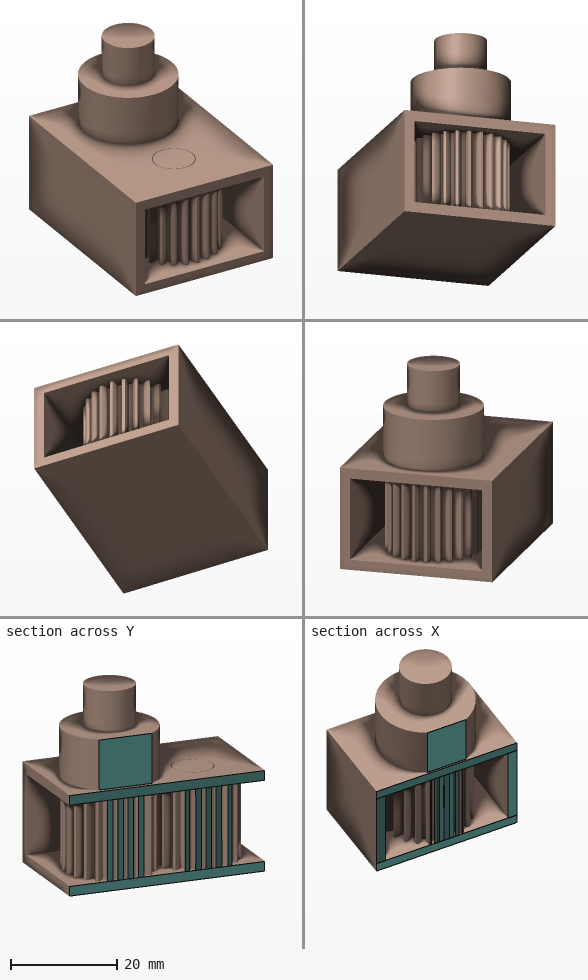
import cadquery as cq
import math

case_length = 40.0
case_width = 30.0
case_height = 20.0
plate_thickness = 2.0
wall_thickness = 2.0
tab_length = 6.0
tab_thickness = 1.0
tab_end_margin = 2.0
inside_height = case_height - 2 * plate_thickness
tab_x = case_length / 2 - tab_end_margin - tab_length / 2
wall_inner_y = case_width / 2 - wall_thickness

gear_distance = 17.0
tooth_count = 24
pressure_angle = math.radians(20)
dedendum_factor = 1.25
root_fillet = 0.19
backlash = 0.001
flank_points = 6
drive_x = -gear_distance / 2
driven_x = gear_distance / 2
module = gear_distance / tooth_count
pitch_radius = gear_distance / 2
base_radius = pitch_radius * math.cos(pressure_angle)
tip_radius = pitch_radius + module
root_radius = pitch_radius - dedendum_factor * module
tooth_pitch = 2 * math.pi / tooth_count

axial_gap = 0.25
bore_clearance = 0.25
drive_hub_diameter = 14.0
shaft_diameter = 8.0
knob_diameter = 19.0
knob_height = 10.0
cap_diameter = 10.0
cap_height = 8.0
knob_bottom_z = case_height + axial_gap
knob_top_z = knob_bottom_z + knob_height
cap_bottom_z = knob_top_z + axial_gap


def box_on(x_size, y_size, z_size, center_x, center_y, bottom_z):
    """Box centred on (center_x, center_y) and standing on bottom_z."""
    box = cq.Workplane("XY").box(x_size, y_size, z_size, centered=(True, True, False))
    return box.translate((center_x, center_y, bottom_z))


def cylinder(diameter, center_x, bottom_z, top_z):
    """Vertical cylinder centred on the X axis of the case."""
    base = cq.Workplane("XY", origin=(center_x, 0, bottom_z))
    return base.circle(diameter / 2).extrude(top_z - bottom_z)


def polar(radius, angle):
    return (radius * math.cos(angle), radius * math.sin(angle))


def involute(angle):
    return math.tan(angle) - angle


def tooth_half_angle(radius):
    """Half of the angle that a tooth spans at a radius on its involute flank."""
    half_angle_at_pitch = tooth_pitch / 4 - backlash / (2 * pitch_radius)
    roll_angle = math.acos(base_radius / radius)
    return half_angle_at_pitch + involute(pressure_angle) - involute(roll_angle)


def spur_gear(center_x, first_tooth_angle):
    """Full-height gear between the plates, one tooth centred on first_tooth_angle."""
    radius_step = (tip_radius - base_radius) / (flank_points - 1)
    flank_radii = [base_radius + i * radius_step for i in range(flank_points)]
    base_half_angle = tooth_half_angle(base_radius)
    root_half_angle = base_half_angle + root_fillet / root_radius
    fillet_rise = root_fillet * (1 - math.sqrt(0.5))
    fillet_middle_radius = root_radius + fillet_rise
    fillet_middle_angle = base_half_angle + fillet_rise / root_radius
    fillet_top_radius = root_radius + root_fillet

    outline = cq.Workplane("XY", origin=(center_x, 0, plate_thickness))
    outline = outline.moveTo(*polar(root_radius, first_tooth_angle - root_half_angle))
    for i in range(tooth_count):
        middle = first_tooth_angle + i * tooth_pitch
        rising = [polar(r, middle - tooth_half_angle(r)) for r in flank_radii]
        falling = [polar(r, middle + tooth_half_angle(r)) for r in reversed(flank_radii)]
        gap_middle = polar(root_radius, middle + tooth_pitch / 2)
        gap_end = polar(root_radius, middle + tooth_pitch - root_half_angle)
        outline = outline.threePointArc(
            polar(fillet_middle_radius, middle - fillet_middle_angle),
            polar(fillet_top_radius, middle - base_half_angle),
        )
        outline = outline.lineTo(*rising[0])
        outline = outline.spline(rising[1:], includeCurrent=True)
        outline = outline.threePointArc(polar(tip_radius, middle), falling[0])
        outline = outline.spline(falling[1:], includeCurrent=True)
        outline = outline.lineTo(*polar(fillet_top_radius, middle + base_half_angle))
        outline = outline.threePointArc(
            polar(fillet_middle_radius, middle + fillet_middle_angle),
            polar(root_radius, middle + root_half_angle),
        )
        outline = outline.threePointArc(gap_middle, gap_end)
    return outline.close().extrude(inside_height)


def side_wall(side):
    """Wall at +Y (side = 1) or -Y (side = -1), tabs running through both plates."""
    wall_y = side * (case_width - wall_thickness) / 2
    wall = box_on(case_length, wall_thickness, inside_height, 0, wall_y, plate_thickness)
    tab_y = side * (wall_inner_y + tab_thickness / 2)
    for x in (-tab_x, tab_x):
        wall = wall.union(box_on(tab_length, tab_thickness, case_height, x, tab_y, 0))
    return wall


def plate(bottom_z):
    """Case plate with a slot for each wall tab."""
    body = box_on(case_length, case_width, plate_thickness, 0, 0, bottom_z)
    for wall in walls:
        body = body.cut(wall)
    return body


def shaft_hole(shaft, center_x, bottom_z, top_z):
    """Clearance hole for a shaft of the given diameter."""
    return cylinder(shaft + bore_clearance, center_x, bottom_z, top_z)


walls = [side_wall(side) for side in (-1, 1)]
lid_bottom_z = case_height - plate_thickness
base_plate = plate(0)
lid = plate(lid_bottom_z)
lid = lid.cut(shaft_hole(drive_hub_diameter, drive_x, lid_bottom_z, case_height))
lid = lid.cut(shaft_hole(shaft_diameter, driven_x, lid_bottom_z, case_height))

drive_gear = spur_gear(drive_x, tooth_pitch / 2)
drive_gear = drive_gear.union(cylinder(drive_hub_diameter, drive_x, lid_bottom_z, knob_bottom_z))
drive_gear = drive_gear.union(cylinder(shaft_diameter, drive_x, knob_bottom_z, cap_bottom_z))

driven_gear = spur_gear(driven_x, 0)
driven_gear = driven_gear.union(cylinder(shaft_diameter, driven_x, lid_bottom_z, case_height))

knob = cylinder(knob_diameter, drive_x, knob_bottom_z, knob_top_z)
knob = knob.cut(shaft_hole(shaft_diameter, drive_x, knob_bottom_z, knob_top_z))

cap = cylinder(cap_diameter, drive_x, cap_bottom_z, cap_bottom_z + cap_height)

result = cq.Compound.makeCompound([
    base_plate.val(),
    lid.val(),
    *[wall.val() for wall in walls],
    drive_gear.val(),
    driven_gear.val(),
    knob.val(),
    cap.val(),
])